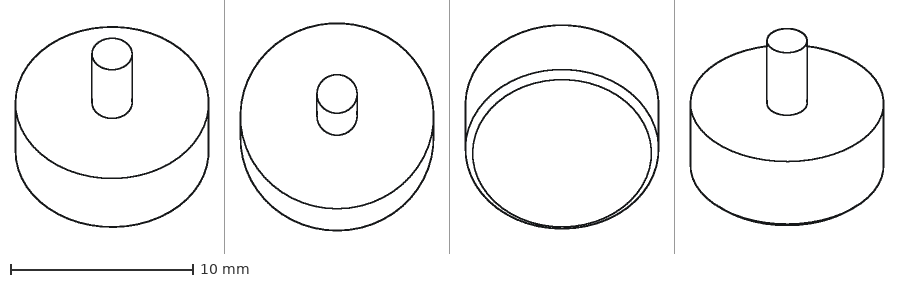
import cadquery as cq

body_diameter = 10.6
stem_diameter = 2.2
stem_length = 4.3
body_wall_height = 4.3
chamfer = 0.4
cone_height = 1.5

body_radius = body_diameter / 2
stem_radius = stem_diameter / 2
cone_radius = body_radius - chamfer
wall_bottom_z = cone_height + chamfer
body_top_z = wall_bottom_z + body_wall_height
stem_top_z = body_top_z + stem_length

half_section = (
    cq.Workplane("XZ")
    .moveTo(0, 0)
    .lineTo(cone_radius, cone_height)
    .lineTo(body_radius, wall_bottom_z)
    .lineTo(body_radius, body_top_z)
    .lineTo(stem_radius, body_top_z)
    .lineTo(stem_radius, stem_top_z)
    .lineTo(0, stem_top_z)
    .close()
)

result = half_section.revolve(360, (0, 0, 0), (0, 1, 0))